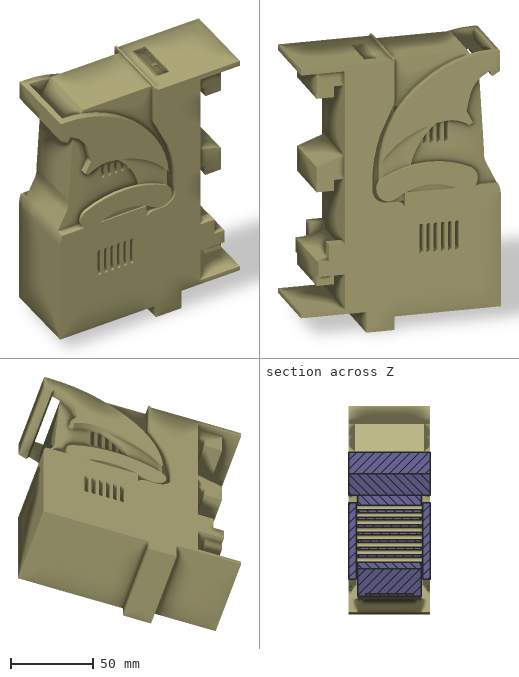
import cadquery as cq
WIDTH = 49.5
DEPTH = 126.7
HEIGHT = 174.5
HALF_WIDTH = WIDTH / 2
LIP_HEIGHT = 1.4
TOP_Z = HEIGHT - LIP_HEIGHT

BASE_FRONT_Y = 85.3
BASE_REAR_Y = 99.0
BASE_BOTTOM_Z = 13.3
TOP_PLATE_THICKNESS = 3.7
BOTTOM_PLATE_THICKNESS = 3.0
HOOK_SIDE_INSET = 3.8
HOOK_TIP_Y = 115.7
HOOK_MOUTH_Y = 104.5
HOOK_HEIGHT = 16.2
HOOK_ROOT_HEIGHT = 9.2
HOOK_RAMP_RISE = 6.1
HOOK_PITCH = 60.2
LOWEST_HOOK_TOP_Z = 48.0
HOOK_COUNT = 3
RAIL_WIDTH = 7.0
RAIL_STEP_Y = 108.9
RAIL_TOP_Z = 58.8

LIP_FRONT_Y = 67.4
LIP_THICKNESS = 1.4
FOOT_HEIGHT = 8.7
COVER_REAR_Y = 60.7
COVER_REAR_BOTTOM_Z = 32.8
SEAM_FLOOR_Z = 82.0
SEAM_FLOOR_FRONT_Y = 65.6
SEAM_FLOOR_REAR_Y = 71.5
LEG_REAR_Y = 18.3
LEG_TOP_Z = 29.8

WINDOW_LEFT_X = -16.8
WINDOW_RIGHT_X = 12.4
WINDOW_FRONT_Y = 74.9
WINDOW_REAR_Y = 84.3
INSERT_FRONT_Y = 80.0
INSERT_SINK = 3.1
INSERT_HEIGHT = 5.2
INSERT_WALL = 0.7
INSERT_CELL_DEPTH = 0.9
INSERT_DIVIDER_WIDTH = 2.5

TOWER_HALF_WIDTH = 19.4
CARRIER_FRONT_Y = 27.5
COVER_SHOULDER_Z = 87.5
PANEL_THICKNESS = 9.0
PANEL_SKIN = 1.7
PANEL_TOP_Z = 159.1
PANEL_FLARE_Z = 77.0
PANEL_BOTTOM_Z = 13.3
PANEL_CHAMFER_TOP_Z = 23.2
PANEL_CHAMFER_Y = 5.8
NOTCH_TOP_Z = 20.6
NOTCH_TOP_HALF_WIDTH = 8.0
NOTCH_BASE_HALF_WIDTH = 16.0
NOTCH_ROUND = 4.4

VENT_WIDTH = 2.6
VENT_PITCH = 4.5
COVER_VENT_COUNT = 6
COVER_VENT_FRONT_Y = 27.7
COVER_VENT_BOTTOM_Z = 47.6
COVER_VENT_TOP_Z = 66.7
CARRIER_VENT_COUNT = 8
CARRIER_VENT_FRONT_Y = 33.3
CARRIER_VENT_BOTTOM_Z = 116.0
CARRIER_VENT_TOP_Z = 142.4

ARM_INNER_X = 20.0
LINK_INNER_X = 22.7
LINK_WEB_OUTER_X = 23.7
LINK_END_Y = 27.2
LINK_MIDDLE_Z = 94.2
WEB_FRONT_Y = 57.2
ARM_REAR_Y = 76.6
ARM_HEEL_Z = 107.8
HANDLE_FRONT_Y = 0.5
GRIP_REAR_Y = 4.2
GRIP_FRONT_BOTTOM_Z = 160.2
GRIP_LIP_TOP_Z = 166.0
GRIP_LIP_REAR = (7.2, 160.7)
GRIP_LIP_TIP = (5.4, 157.2)


def side_profile(start_y, start_z):
    """Start an outline in the YZ plane."""
    return cq.Workplane("YZ").moveTo(start_y, start_z)


def mirrored(shape):
    return shape.mirror("YZ")


def slab(closed_profile, x_from, x_to):
    """Extrude a YZ outline between two X positions."""
    return closed_profile.extrude(x_to - x_from).translate((x_from, 0, 0))


def block(x_range, y_range, z_range):
    size = [end - start for start, end in (x_range, y_range, z_range)]
    corner = [axis_range[0] for axis_range in (x_range, y_range, z_range)]
    return cq.Workplane("XY").box(*size, centered=False).translate(tuple(corner))


def vent_slots(front_y, count, bottom_z, top_z):
    """Row of round-ended slots that pass through the whole width."""
    middle_y = front_y + (count - 1) * VENT_PITCH / 2
    return (
        cq.Workplane("YZ")
        .center(middle_y, (bottom_z + top_z) / 2)
        .rarray(VENT_PITCH, 1.7, count, 1)
        .slot2D(top_z - bottom_z, VENT_WIDTH, 90)
        .extrude(HALF_WIDTH, both=True)
    )


def rail_hook(top_z):
    """Mounting hook with a ramp on top and a mouth that opens downward."""
    profile = (
        side_profile(BASE_REAR_Y, top_z + HOOK_RAMP_RISE)
        .lineTo(HOOK_TIP_Y, top_z)
        .lineTo(HOOK_TIP_Y, top_z - HOOK_HEIGHT)
        .lineTo(HOOK_MOUTH_Y, top_z - HOOK_HEIGHT)
        .lineTo(HOOK_MOUTH_Y, top_z - HOOK_ROOT_HEIGHT)
        .lineTo(BASE_REAR_Y, top_z - HOOK_ROOT_HEIGHT)
        .close()
    )
    reach = HALF_WIDTH - HOOK_SIDE_INSET
    return slab(profile, -reach, reach)


def side_rail():
    """Stepped rail along the left edge, beside the lowest hook."""
    bottom_z = LOWEST_HOOK_TOP_Z - HOOK_ROOT_HEIGHT
    profile = (
        side_profile(BASE_REAR_Y, bottom_z)
        .lineTo(HOOK_TIP_Y, bottom_z)
        .lineTo(HOOK_TIP_Y, LOWEST_HOOK_TOP_Z)
        .lineTo(RAIL_STEP_Y, LOWEST_HOOK_TOP_Z)
        .lineTo(RAIL_STEP_Y, RAIL_TOP_Z)
        .lineTo(BASE_REAR_Y, RAIL_TOP_Z)
        .close()
    )
    return slab(profile, -HALF_WIDTH, -HALF_WIDTH + RAIL_WIDTH)


def make_base():
    top_plate_bottom_z = TOP_Z - TOP_PLATE_THICKNESS
    bottom_plate_top_z = BASE_BOTTOM_Z + BOTTOM_PLATE_THICKNESS
    channel = (
        side_profile(BASE_FRONT_Y, BASE_BOTTOM_Z)
        .lineTo(DEPTH, BASE_BOTTOM_Z)
        .lineTo(DEPTH, bottom_plate_top_z)
        .lineTo(BASE_REAR_Y, bottom_plate_top_z)
        .lineTo(BASE_REAR_Y, top_plate_bottom_z)
        .lineTo(DEPTH, top_plate_bottom_z)
        .lineTo(DEPTH, TOP_Z)
        .lineTo(BASE_FRONT_Y, TOP_Z)
        .close()
    )
    base = slab(channel, -HALF_WIDTH, HALF_WIDTH)
    for index in range(HOOK_COUNT):
        hook = rail_hook(LOWEST_HOOK_TOP_Z + index * HOOK_PITCH)
        room_below_top = block(
            (-HALF_WIDTH, HALF_WIDTH), (BASE_REAR_Y, DEPTH), (BASE_BOTTOM_Z, TOP_Z)
        )
        base = base.union(hook.intersect(room_below_top))
    rail = side_rail()
    return base.union(rail).union(mirrored(rail))


def follow_seam(outline):
    """Continue an outline down the curved seam, from the lip to the top rear edge of the cover."""
    return (
        outline.lineTo(LIP_FRONT_Y, 147.5)
        .threePointArc((67.7, 145.9), (68.2, 144.5))
        .lineTo(76.5, 126.7)
        .threePointArc((80.3, 111.7), (81.5, 93.9))
        .lineTo(81.5, 91.0)
        .threePointArc((78.5, 84.8), (SEAM_FLOOR_REAR_Y, SEAM_FLOOR_Z))
        .lineTo(SEAM_FLOOR_FRONT_Y, SEAM_FLOOR_Z)
        .threePointArc((62.5, 81.0), (COVER_REAR_Y, 78.5))
    )


def terminal_window():
    """Pocket with a ramp in front of a flat-bottomed seat for the insert."""
    insert_top_z = TOP_Z - INSERT_SINK
    seat_z = insert_top_z - INSERT_HEIGHT
    profile = (
        side_profile(WINDOW_FRONT_Y, TOP_Z)
        .lineTo(INSERT_FRONT_Y, insert_top_z)
        .lineTo(INSERT_FRONT_Y, seat_z)
        .lineTo(WINDOW_REAR_Y, seat_z)
        .lineTo(WINDOW_REAR_Y, TOP_Z)
        .close()
    )
    return slab(profile, WINDOW_LEFT_X, WINDOW_RIGHT_X)


def make_housing():
    seam = follow_seam(side_profile(LIP_FRONT_Y, HEIGHT))
    profile = (
        seam.lineTo(COVER_REAR_Y, COVER_REAR_BOTTOM_Z)
        .lineTo(LEG_REAR_Y, LEG_TOP_Z)
        .lineTo(LEG_REAR_Y, FOOT_HEIGHT)
        .lineTo(LIP_FRONT_Y, FOOT_HEIGHT)
        .lineTo(LIP_FRONT_Y, 0)
        .lineTo(BASE_FRONT_Y, 0)
        .lineTo(BASE_FRONT_Y, TOP_Z)
        .lineTo(LIP_FRONT_Y + LIP_THICKNESS, TOP_Z)
        .lineTo(LIP_FRONT_Y + LIP_THICKNESS, HEIGHT)
        .close()
    )
    return slab(profile, -HALF_WIDTH, HALF_WIDTH).cut(terminal_window())


def make_insert():
    """Strip at the bottom of the window, with two shallow cells side by side."""
    top_z = TOP_Z - INSERT_SINK
    insert = block(
        (WINDOW_LEFT_X, WINDOW_RIGHT_X),
        (INSERT_FRONT_Y, WINDOW_REAR_Y),
        (top_z - INSERT_HEIGHT, top_z),
    )
    inner_width = WINDOW_RIGHT_X - WINDOW_LEFT_X - 2 * INSERT_WALL
    cell_width = (inner_width - INSERT_DIVIDER_WIDTH) / 2
    for index in range(2):
        left_x = WINDOW_LEFT_X + INSERT_WALL + index * (cell_width + INSERT_DIVIDER_WIDTH)
        cell = block(
            (left_x, left_x + cell_width),
            (INSERT_FRONT_Y + INSERT_WALL, WINDOW_REAR_Y - INSERT_WALL),
            (top_z - INSERT_CELL_DEPTH, top_z),
        )
        insert = insert.cut(cell)
    return insert


def make_carrier():
    seam = follow_seam(side_profile(LIP_FRONT_Y, TOP_Z))
    profile = (
        seam.lineTo(COVER_REAR_Y, COVER_SHOULDER_Z)
        .lineTo(CARRIER_FRONT_Y, COVER_SHOULDER_Z)
        .lineTo(CARRIER_FRONT_Y, TOP_Z)
        .close()
    )
    vents = vent_slots(
        CARRIER_VENT_FRONT_Y, CARRIER_VENT_COUNT, CARRIER_VENT_BOTTOM_Z, CARRIER_VENT_TOP_Z
    )
    return slab(profile, -TOWER_HALF_WIDTH, TOWER_HALF_WIDTH).cut(vents)


def front_block():
    """Cover and panel as one block: full width below the shoulder, a narrow tower above it."""
    profile = (
        side_profile(0, FOOT_HEIGHT)
        .lineTo(0, 80.3)
        .tangentArcPoint((2.1, 88.8), relative=False)
        .lineTo(7.7, 100.0)
        .tangentArcPoint((9.0, 107.5), relative=False)
        .lineTo(12.2, 157.5)
        .tangentArcPoint((15.4, 166.6), relative=False)
        .lineTo(19.2, TOP_Z)
        .lineTo(CARRIER_FRONT_Y, TOP_Z)
        .lineTo(CARRIER_FRONT_Y, COVER_SHOULDER_Z)
        .lineTo(COVER_REAR_Y, COVER_SHOULDER_Z)
        .lineTo(COVER_REAR_Y, COVER_REAR_BOTTOM_Z)
        .lineTo(LEG_REAR_Y, LEG_TOP_Z)
        .lineTo(LEG_REAR_Y, FOOT_HEIGHT)
        .close()
    )
    body = slab(profile, -HALF_WIDTH, HALF_WIDTH)
    left_of_tower = block(
        (-HALF_WIDTH, -TOWER_HALF_WIDTH), (0, COVER_REAR_Y), (COVER_SHOULDER_Z, TOP_Z)
    )
    return body.cut(left_of_tower).cut(mirrored(left_of_tower))


def panel_skin(body):
    """Thin upper part of the panel, tapering upward, on the front surface of the tower."""
    skin = body.cut(body.translate((0, PANEL_SKIN, 0)))
    half_outline = (
        cq.Workplane("XZ")
        .moveTo(0, PANEL_FLARE_Z)
        .lineTo(HALF_WIDTH, PANEL_FLARE_Z)
        .threePointArc((19.2, 85.5), (16.8, 100.3))
        .lineTo(12.5, PANEL_TOP_Z)
        .lineTo(0, PANEL_TOP_Z)
        .close()
        .extrude(-CARRIER_FRONT_Y)
    )
    return skin.intersect(half_outline.union(mirrored(half_outline)))


def panel_notch():
    """Raised middle of the panel's lower edge, with all four corners softened."""
    slanted_corners = cq.selectors.BoxSelector(
        (-NOTCH_BASE_HALF_WIDTH - NOTCH_ROUND, 0, FOOT_HEIGHT),
        (NOTCH_BASE_HALF_WIDTH + NOTCH_ROUND, PANEL_THICKNESS, HEIGHT),
    )
    return (
        cq.Workplane("XZ")
        .moveTo(-HALF_WIDTH, FOOT_HEIGHT)
        .lineTo(-HALF_WIDTH, PANEL_BOTTOM_Z)
        .lineTo(-NOTCH_BASE_HALF_WIDTH, PANEL_BOTTOM_Z)
        .lineTo(-NOTCH_TOP_HALF_WIDTH, NOTCH_TOP_Z)
        .lineTo(NOTCH_TOP_HALF_WIDTH, NOTCH_TOP_Z)
        .lineTo(NOTCH_BASE_HALF_WIDTH, PANEL_BOTTOM_Z)
        .lineTo(HALF_WIDTH, PANEL_BOTTOM_Z)
        .lineTo(HALF_WIDTH, FOOT_HEIGHT)
        .close()
        .extrude(-PANEL_THICKNESS)
        .edges("|Y")
        .edges(slanted_corners)
        .fillet(NOTCH_ROUND)
    )


def make_panel(body):
    lower_profile = (
        side_profile(0, PANEL_BOTTOM_Z)
        .lineTo(0, PANEL_FLARE_Z)
        .lineTo(PANEL_THICKNESS, PANEL_FLARE_Z)
        .lineTo(PANEL_THICKNESS, PANEL_CHAMFER_TOP_Z)
        .lineTo(PANEL_CHAMFER_Y, PANEL_BOTTOM_Z)
        .close()
    )
    lower_panel = slab(lower_profile, -HALF_WIDTH, HALF_WIDTH).cut(panel_notch())
    return lower_panel.union(panel_skin(body))


def make_cover(body, panel, links):
    cover = body.cut(panel)
    for link in links:
        cover = cover.cut(link)
    vents = vent_slots(COVER_VENT_FRONT_Y, COVER_VENT_COUNT, COVER_VENT_BOTTOM_Z, COVER_VENT_TOP_Z)
    return cover.cut(vents)


def arm_plate():
    """Sickle-shaped arm at full thickness, from the grip to the heel at the rear."""
    profile = (
        side_profile(HANDLE_FRONT_Y, TOP_Z)
        .lineTo(GRIP_REAR_Y, TOP_Z)
        .threePointArc((28.6, 168.5), (48.2, 157.5))
        .threePointArc((67.9, 136.0), (ARM_REAR_Y, ARM_HEEL_Z))
        .threePointArc((56.7, 125.0), (33.5, 131.5))
        .threePointArc((26.5, 130.5), (20.0, 127.2))
        .lineTo(17.6, 128.6)
        .lineTo(21.8, 136.5)
        .lineTo(19.4, 147.1)
        .threePointArc((16.4, 153.2), (12.4, 157.5))
        .lineTo(*GRIP_LIP_REAR)
        .lineTo(*GRIP_LIP_TIP)
        .lineTo(HANDLE_FRONT_Y, GRIP_FRONT_BOTTOM_Z)
        .close()
    )
    return slab(profile, ARM_INNER_X, HALF_WIDTH)


def arm_web():
    """Thinner plate below the arm that carries the link, with a round front edge."""
    profile = (
        side_profile(ARM_REAR_Y, ARM_HEEL_Z)
        .lineTo(ARM_REAR_Y, COVER_SHOULDER_Z)
        .lineTo(SEAM_FLOOR_REAR_Y, SEAM_FLOOR_Z)
        .lineTo(COVER_REAR_Y, SEAM_FLOOR_Z)
        .lineTo(COVER_REAR_Y, COVER_SHOULDER_Z)
        .lineTo(WEB_FRONT_Y, COVER_SHOULDER_Z)
        .threePointArc((51.3, 117.5), (38.5, 131.2))
        .lineTo(48.2, 139.6)
        .close()
    )
    return slab(profile, ARM_INNER_X, LINK_INNER_X)


def grip_bar():
    """Bar across the front that joins the two arms, with a lip along its lower rear edge."""
    profile = (
        side_profile(HANDLE_FRONT_Y, TOP_Z)
        .lineTo(GRIP_REAR_Y, TOP_Z)
        .lineTo(GRIP_REAR_Y, GRIP_LIP_TOP_Z)
        .lineTo(*GRIP_LIP_REAR)
        .lineTo(*GRIP_LIP_TIP)
        .lineTo(HANDLE_FRONT_Y, GRIP_FRONT_BOTTOM_Z)
        .close()
    )
    return slab(profile, -HALF_WIDTH, HALF_WIDTH)


def make_handle():
    arm = arm_plate().union(arm_web())
    return grip_bar().union(arm).union(mirrored(arm))


def make_link(is_left):
    """Banana-shaped link outside one arm web, with a thin web under its hollow."""
    profile = (
        side_profile(75.0, 97.7)
        .threePointArc((44.8, 105.5), (18.0, 99.5))
        .threePointArc((14.7, 93.0), (18.0, 86.5))
        .threePointArc((22.3, 85.2), (LINK_END_Y, 87.0))
        .threePointArc((44.8, 91.5), (60.9, 87.6))
        .lineTo(66.7, 84.3)
        .threePointArc((77.1, 86.4), (75.0, 97.7))
        .close()
    )
    link = slab(profile, LINK_INNER_X, HALF_WIDTH)
    link_web = block(
        (LINK_INNER_X, LINK_WEB_OUTER_X),
        (LINK_END_Y, WEB_FRONT_Y),
        (COVER_SHOULDER_Z, LINK_MIDDLE_Z),
    )
    link = link.union(link_web)
    return mirrored(link) if is_left else link


base = make_base()
housing = make_housing()
insert = make_insert()
carrier = make_carrier()
handle = make_handle()
links = [make_link(is_left) for is_left in (False, True)]
front_body = front_block()
panel = make_panel(front_body)
cover = make_cover(front_body, panel, links)

bodies = [base, housing, insert, carrier, cover, panel, handle, *links]
result = cq.Compound.makeCompound([body.solids().val() for body in bodies])